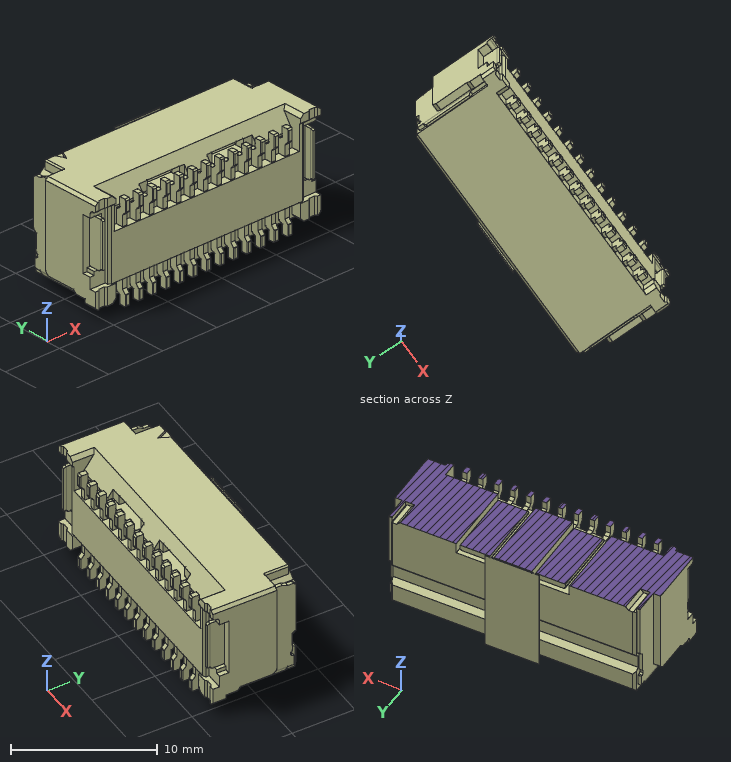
import cadquery as cq


length = 20.85
height = 8.4
depth = 7.2
half_length = length / 2
flank_chamfer = 0.23
back_chamfer = 0.2

flank_depth = 5.1
flank_bottom = 0.82
foot_depth = 1.07
foot_step_height = 0.53
foot_step_length = 0.9
flank_corner_chamfer = 0.29

end_wall_x = 9.86
end_wall_bottom = 0.45
end_wall_base_y = 6.79
end_wall_back_y = 6.96
end_wall_back_bottom = 3.45
end_wall_back_top = 7.5
end_relief_y = 6.66
end_relief_slope = 0.25
end_relief_bottom = 1.27
end_pocket_y = 6.53
end_pocket_chamfer = 0.13
end_pocket_top = 1.6
end_ledge_height = 7.9
end_ledge_back_z = 7.7
ledge_ramp_top_y = 5.85
ledge_ramp_foot_y = 6.29
ledge_back_slope_y = 6.74
end_wall_inner_x = 9.58
shelf_height = 7.3
shelf_outer_chamfer = 0.15
shelf_inner_x = 9.09
shelf_slope = 0.33
shelf_edge_chamfer = 0.12
core_x = 9.6
belly_inset = 0.1
belly_drop = 0.32
belly_back_y = 6.3
belly_front_y = 2.33
belly_end_slope = 0.18

groove_depth = 0.42
groove_bottom = 1.6
groove_top = 3.38
groove_slope = 0.38

foot_height = 1.5
foot_inner_x = 8.52
foot_inner_chamfer = 0.31
lip_front_z = 7.7
lip_root_z = 7.62
side_recess_y = 0.53
side_recess_fillet = 0.25
block_front_y = 0.13
block_chamfer_x = 0.23
block_chamfer_y = 0.14
block_half_length = 8.81
notch_center_x = 9.7
notch_floor_width = 0.5
notch_mouth_width = 0.75
notch_depth = 0.15

block_top = 5.5
recess_wall_y = 0.88
slope_foot_z = 6.92
slope_back_y = 1.92

window_bottom = 6.72
window_top = 7.53
window_center_x = 3.13
window_width = 4.18
window_back_y = 1.3
slot_center_x = 2.96
slot_width = 2.93
rib_width = 2.36
rib_drop = 0.42
rib_front_y = 1.65
rib_slope = 0.2
rib_chamfer = 0.12

lead_count = 13
lead_pitch = 1.25
lead_width = 0.4
lead_front_y = -0.1
lead_foot_back_y = 0.53
shank_front_y = 0.25
jog_rise = 0.33
root_top_rise = 0.02
heel_slope = 0.2
upper_foot_bottom = 6.73
upper_foot_top = 7.75
lower_foot_top = 0.31
lower_foot_bottom = -0.65
foot_side_chamfer = 0.06
foot_tip_chamfer = 0.12
root_back_y = 1.17
lead_row_start = -(lead_count - 1) / 2 * lead_pitch

tab_center_x = 9.7
tab_thickness = 0.26
tab_front_y = -0.07
tab_bottom = 2.83
tab_top = 6.9
tab_tip_bottom = 2.98
tab_tip_top = 6.78
tab_bevel_y = 0.14
tab_tip_thickness = 0.22
tab_slot_back_y = 1.27
tab_slot_inner_x = 9.4
tab_slot_bottom = 2.76
tab_slot_top = 7.04
tab_relief_x = 10.05
tab_relief_bottom = 2.45

mark_width = 1.0
mark_length = 1.0

film_width = 4.24
film_height = 9.0
film_thickness = 0.1

cut_margin = 1.0
sides = (-1, 1)


def extrude_along_x(points, x_start, x_end):
    """Extrude a (y, z) outline between two X positions."""
    profile = cq.Workplane("YZ").workplane(offset=min(x_start, x_end))
    return profile.polyline(points).close().extrude(abs(x_end - x_start))


def extrude_along_y(points, y_start, y_end):
    """Extrude an (x, z) outline from y_start back to y_end."""
    profile = cq.Workplane("XZ", origin=(0, y_start, 0))
    return profile.polyline(points).close().extrude(y_start - y_end)


def box_between(x_start, x_end, y_start, y_end, z_start, z_end):
    size = (abs(x_end - x_start), y_end - y_start, z_end - z_start)
    corner = (min(x_start, x_end), y_start, z_start)
    return cq.Workplane("XY").box(*size, centered=False).translate(corner)


def make_core():
    """Central length of the housing, with stepped upper rear corners."""
    shelf_top_x = shelf_inner_x - shelf_slope
    right_edge = [
        (core_x, 0),
        (core_x, shelf_height - shelf_outer_chamfer),
        (core_x - shelf_outer_chamfer, shelf_height),
        (shelf_inner_x, shelf_height),
        (shelf_top_x, shelf_height + shelf_slope),
        (shelf_top_x, height - shelf_edge_chamfer),
        (shelf_top_x - shelf_edge_chamfer, height),
    ]
    left_edge = [(-x, z) for x, z in reversed(right_edge)]
    core = extrude_along_y(right_edge + left_edge, 0, depth)
    rear_corners = core.edges("|Z and >Y")
    core = rear_corners.chamfer(back_chamfer)
    core = core.faces(">Z").edges(">Y").chamfer(back_chamfer)
    return core.faces("<Z").edges(">Y").chamfer(back_chamfer)


def make_flank(side):
    """Outer end block: tall side wall standing on a front foot."""
    step_end = foot_depth + foot_step_length
    corner = flank_corner_chamfer
    outline = [
        (0, 0),
        (foot_depth, 0),
        (foot_depth, foot_step_height),
        (step_end, foot_step_height),
        (step_end + corner, flank_bottom),
        (flank_depth - corner, flank_bottom),
        (flank_depth, flank_bottom + corner),
        (flank_depth, height),
        (0, height),
    ]
    flank = extrude_along_x(outline, side * foot_inner_x, side * half_length)
    outer = ">X" if side > 0 else "<X"
    flank = flank.faces(">Z").edges(outer).chamfer(flank_chamfer)
    return flank.faces("<Z").edges(outer).chamfer(flank_chamfer)


def make_end_wall(side):
    """Set-back end wall with a ramped top ledge and a relieved rear edge."""
    outline = [
        (foot_depth, end_wall_bottom),
        (end_wall_base_y, end_wall_bottom),
        (end_wall_base_y, end_relief_bottom),
        (end_relief_y, end_relief_bottom),
        (end_pocket_y, end_relief_bottom + end_pocket_chamfer),
        (end_pocket_y, end_pocket_top),
        (end_relief_y, end_pocket_top + end_pocket_chamfer),
        (end_relief_y, end_wall_back_bottom - end_relief_slope),
        (end_wall_back_y, end_wall_back_bottom),
        (end_wall_back_y, end_wall_back_top),
        (ledge_back_slope_y, end_ledge_back_z),
        (ledge_ramp_foot_y, end_ledge_back_z),
        (ledge_ramp_top_y, end_ledge_height),
        (foot_depth, end_ledge_height),
    ]
    return extrude_along_x(outline, side * end_wall_inner_x, side * end_wall_x)


def make_belly(side):
    """Sloped pad under each end wall."""
    outline = [
        (belly_back_y, end_wall_bottom),
        (belly_front_y, end_wall_bottom),
        (belly_front_y + belly_end_slope, end_wall_bottom - belly_drop),
        (belly_back_y - belly_end_slope, end_wall_bottom - belly_drop),
    ]
    pad = extrude_along_x(outline, side * end_wall_inner_x, side * end_wall_x)
    bevel = extrude_along_y(
        [
            (side * end_wall_x, end_wall_bottom),
            (side * (end_wall_x - belly_inset), end_wall_bottom - belly_drop),
            (side * end_wall_x, end_wall_bottom - belly_drop),
        ],
        0,
        depth,
    )
    return pad.cut(bevel)


def make_back_groove():
    outline = [
        (depth, groove_bottom),
        (depth - groove_depth, groove_bottom + groove_slope),
        (depth - groove_depth, groove_top - groove_slope),
        (depth, groove_top),
    ]
    return extrude_along_x(outline, -half_length, half_length)


def make_front_relief():
    """Shallow set-back of the central block between feet and lips."""
    outline = [
        (0, foot_height),
        (block_front_y, foot_height),
        (block_front_y, lip_root_z),
        (0, lip_front_z),
    ]
    return extrude_along_x(outline, -half_length, half_length)


def make_side_recess(side):
    """Deeper recess beside the block, under the lip, for the mounting tab."""
    shoulder_y = block_front_y + block_chamfer_y
    shoulder_x = block_half_length + block_chamfer_x
    plan = [
        (side * block_half_length, block_front_y),
        (side * shoulder_x, shoulder_y),
        (side * shoulder_x, side_recess_y),
        (side * half_length, side_recess_y),
        (side * half_length, block_front_y),
    ]
    floor = cq.Workplane("XY").workplane(offset=foot_height)
    recess = floor.polyline(plan).close().extrude(lip_root_z - foot_height)
    return recess.faces(">Z").edges(">Y").fillet(side_recess_fillet)


def make_tab_slot(side):
    slot = box_between(
        side * tab_slot_inner_x, side * half_length,
        0, tab_slot_back_y,
        tab_slot_bottom, tab_slot_top,
    )
    relief = box_between(
        side * tab_relief_x, side * half_length,
        0, tab_slot_back_y,
        tab_relief_bottom, tab_slot_bottom,
    )
    return slot.union(relief)


def make_front_notch(side):
    """Tapered vertical notch in the front of a foot and its lip."""
    center = side * notch_center_x
    plan = [
        (center - notch_mouth_width / 2, 0),
        (center - notch_floor_width / 2, notch_depth),
        (center + notch_floor_width / 2, notch_depth),
        (center + notch_mouth_width / 2, 0),
    ]
    return cq.Workplane("XY").polyline(plan).close().extrude(height)


def make_upper_recess():
    """Lead recess above the block, with a sloped back and flared ends."""
    outline = [
        (-cut_margin, block_top),
        (recess_wall_y, block_top),
        (recess_wall_y, slope_foot_z),
        (slope_back_y, height),
        (-cut_margin, height),
    ]
    top_x = foot_inner_x + foot_inner_chamfer
    front_shape = [
        (-foot_inner_x, block_top),
        (foot_inner_x, block_top),
        (foot_inner_x, height - foot_inner_chamfer),
        (top_x, height),
        (-top_x, height),
        (-foot_inner_x, height - foot_inner_chamfer),
    ]
    recess = extrude_along_x(outline, -half_length, half_length)
    return recess.intersect(extrude_along_y(front_shape, -cut_margin, depth))


def make_lower_recess():
    """Lead recess below the block, with flared ends."""
    bottom_x = foot_inner_x + foot_inner_chamfer
    front_shape = [
        (-bottom_x, 0),
        (bottom_x, 0),
        (foot_inner_x, foot_inner_chamfer),
        (foot_inner_x, foot_height),
        (-foot_inner_x, foot_height),
        (-foot_inner_x, foot_inner_chamfer),
    ]
    return extrude_along_y(front_shape, 0, recess_wall_y)


def make_window(side):
    """Window pocket with a through slot, narrowed by a rib on the slot roof."""
    center = side * window_center_x
    pocket = box_between(
        center - window_width / 2, center + window_width / 2,
        0, window_back_y,
        window_bottom, window_top,
    )
    slot_x = side * slot_center_x
    slot = box_between(
        slot_x - slot_width / 2, slot_x + slot_width / 2,
        0, depth,
        window_bottom, window_top,
    )
    rib_profile = [
        (rib_front_y, window_top - rib_drop),
        (depth, window_top - rib_drop),
        (depth, window_top),
        (rib_front_y + rib_slope, window_top),
    ]
    rib = extrude_along_x(rib_profile, slot_x - rib_width / 2, slot_x + rib_width / 2)
    rib = rib.faces("<Z").edges("|Y").chamfer(rib_chamfer)
    return pocket.union(slot.cut(rib))


def make_position_mark():
    """Triangular first-position mark, as deep as the rear chamfer."""
    plane = cq.Workplane("XY").workplane(offset=height - back_chamfer)
    outline = [
        (lead_row_start - mark_width / 2, depth),
        (lead_row_start + mark_width / 2, depth),
        (lead_row_start, depth - mark_length),
    ]
    return plane.polyline(outline).close().extrude(back_chamfer)


def make_lead_foot(z_bottom, z_top, tip):
    """Solder foot with chamfered front edges; tip selects its free end face."""
    foot = box_between(
        -lead_width / 2, lead_width / 2,
        lead_front_y, lead_foot_back_y,
        z_bottom, z_top,
    )
    foot = foot.faces(tip).edges("<Y").chamfer(foot_tip_chamfer)
    return foot.faces("<Y").edges("|Z").chamfer(foot_side_chamfer)


def make_upper_lead():
    """Rises out of the block, with a root into the wall and a forward jog."""
    root_top = upper_foot_bottom + root_top_rise
    shank = [
        (shank_front_y, block_top),
        (root_back_y, block_top),
        (root_back_y, root_top),
        (lead_foot_back_y + heel_slope, root_top),
        (lead_foot_back_y, root_top + heel_slope),
        (lead_front_y + foot_side_chamfer, upper_foot_bottom + foot_side_chamfer),
        (lead_front_y + foot_side_chamfer, upper_foot_bottom),
        (shank_front_y, upper_foot_bottom - jog_rise),
    ]
    lead = extrude_along_x(shank, -lead_width / 2, lead_width / 2)
    return lead.union(make_lead_foot(upper_foot_bottom, upper_foot_top, ">Z"))


def make_lower_lead():
    """Drops out of the block against the wall, with a forward jog."""
    shank = [
        (shank_front_y, foot_height),
        (recess_wall_y, foot_height),
        (recess_wall_y, lower_foot_top),
        (lead_foot_back_y, lower_foot_top - heel_slope),
        (lead_front_y + foot_side_chamfer, lower_foot_top - heel_slope),
        (lead_front_y + foot_side_chamfer, lower_foot_top),
        (shank_front_y, lower_foot_top + jog_rise),
    ]
    lead = extrude_along_x(shank, -lead_width / 2, lead_width / 2)
    return lead.union(make_lead_foot(lower_foot_bottom, lower_foot_top, "<Z"))


def make_tab(side):
    """Mounting tab standing in its slot, with a tip tapered on both sides."""
    outline = [
        (tab_slot_back_y, tab_bottom),
        (block_front_y + tab_bevel_y, tab_bottom),
        (block_front_y, tab_tip_bottom),
        (tab_front_y, tab_tip_bottom),
        (tab_front_y, tab_tip_top),
        (block_front_y, tab_top),
        (tab_slot_back_y, tab_top),
    ]
    half_tab = tab_thickness / 2
    half_tip = tab_tip_thickness / 2
    plan = [
        (-half_tab, tab_slot_back_y),
        (-half_tab, block_front_y),
        (-half_tip, tab_front_y),
        (half_tip, tab_front_y),
        (half_tab, block_front_y),
        (half_tab, tab_slot_back_y),
    ]
    taper = cq.Workplane("XY").polyline(plan).close().extrude(height)
    tab = extrude_along_x(outline, -half_tab, half_tab).intersect(taper)
    return tab.translate((side * tab_center_x, 0, 0))


def make_connector():
    """Housing together with its leads and mounting tabs."""
    body = make_core()
    for side in sides:
        body = body.union(make_flank(side))
        body = body.union(make_end_wall(side))
        body = body.union(make_belly(side))
    body = body.cut(make_back_groove())
    body = body.cut(make_front_relief())
    body = body.cut(make_upper_recess())
    body = body.cut(make_lower_recess())
    body = body.cut(make_position_mark())
    for side in sides:
        body = body.cut(make_side_recess(side))
        body = body.cut(make_tab_slot(side))
        body = body.cut(make_front_notch(side))
        body = body.cut(make_window(side))
        body = body.union(make_tab(side))
    upper_lead = make_upper_lead()
    lower_lead = make_lower_lead()
    for index in range(lead_count):
        lead_x = lead_row_start + index * lead_pitch
        body = body.union(upper_lead.translate((lead_x, 0, 0)))
        body = body.union(lower_lead.translate((lead_x, 0, 0)))
    return body


def make_film():
    """Thin pick-up film on the back, hanging below the housing."""
    return box_between(
        -film_width / 2, film_width / 2,
        depth, depth + film_thickness,
        height - film_height, height,
    )


connector = make_connector()
film = make_film()
result = cq.Compound.makeCompound([connector.val(), film.val()])